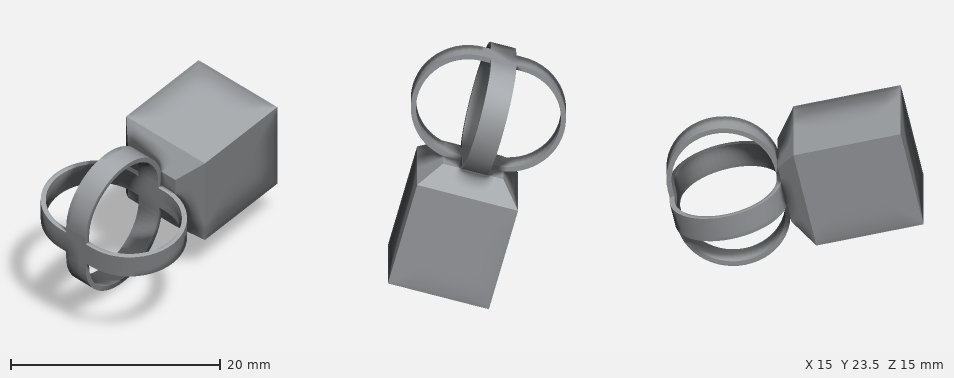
import cadquery as cq

total_length = 23.5
block_width = 10.0
tip_width = 6.0
taper_length = 2.0
loop_span = 15.0
loop_depth = 11.0
band_width = 2.5
band_thickness = 0.5

block_length = total_length - loop_depth - taper_length


def make_block():
    """Square block whose -Y end tapers to a smaller square."""
    taper = (
        cq.Workplane("XZ")
        .rect(tip_width, tip_width)
        .workplane(offset=-taper_length)
        .rect(block_width, block_width)
        .loft(ruled=True)
    )
    body = (
        cq.Workplane("XZ", origin=(0, taper_length, 0))
        .rect(block_width, block_width)
        .extrude(-block_length)
    )
    return body.union(taper)


def make_loop():
    """Flat stadium-shaped band in the XY plane, touching Y = 0."""
    inner_span = loop_span - 2 * band_thickness
    inner_depth = loop_depth - 2 * band_thickness
    return (
        cq.Workplane("XY", origin=(0, -loop_depth / 2, -band_width / 2))
        .slot2D(loop_span, loop_depth)
        .slot2D(inner_span, inner_depth)
        .extrude(band_width)
    )


def make_cage():
    """Two identical loops crossing at right angles, joined where they cross."""
    level_loop = make_loop()
    upright_loop = make_loop().rotate((0, 0, 0), (0, 1, 0), 90)
    return level_loop.union(upright_loop)


block = make_block()
cage = make_cage()

result = cq.Compound.makeCompound([block.solids().val(), cage.solids().val()])